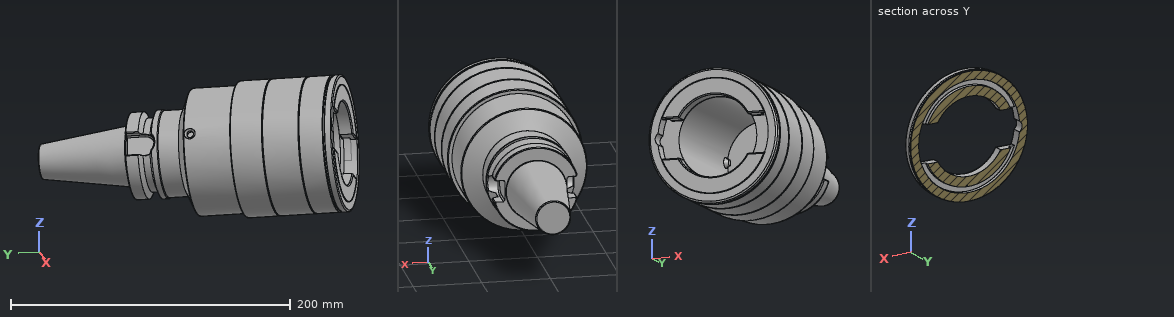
import cadquery as cq
import math

length = 222.5
edge_break = 0.7

taper_ratio = 7 / 24
gauge_y = 157.0
gauge_r = 22.2
tail_r = gauge_r - (length - gauge_y) * taper_ratio / 2
neck_r = gauge_r - 0.5

flange_back_y = 155.0
flange_front_y = 145.5
flange_d = 63.0
flange_r = flange_d / 2
groove_r = 26.7
groove_back_y = 142.8
groove_front_y = 137.7
collar_r = 32.0
collar_back_y = 135.5
collar_front_y = 131.2

waist_r = 31.4
waist_front_y = 115.6
shoulder_r = 46.0
shoulder_y = 109.2
sleeve_d = 98.5
sleeve_r = sleeve_d / 2
sleeve_back_y = 74.5
joint_positions = (50.7, 24.0)
joint_depth = 0.5
relief_y = 5.8
relief_half_bottom = 0.5
relief_half_top = 1.0
relief_depth = 1.0
nose_chamfer_r = 1.3
nose_chamfer_y = 0.7

drive_half_width = 8.0
drive_floor_x = 22.7
drive_center_y = 141.7
drive_floor_chamfer = 1.1
drive_edge_chamfer = 1.0

bore_r = 29.8
bore_depth = 108.0
insert_r = 42.3
insert_flange_depth = 4.7
insert_depth = 10.0
insert_neck_r = 38.0
insert_bore_r = bore_r + 0.2
insert_chamfer = 1.0
insert_joint_depth = 0.5

cross_half_width = 14.7
cross_chamfer = 1.0
cross_floor_chamfer = 0.5

notch_r = 5.0
notch_x = -39.4

screw_y = 104.3
countersink_r = 4.0
countersink_depth = 1.5
socket_r = 2.5
socket_depth = 4.5
point_base_r = 5.3
point_embed = 1.8
point_tip_r = 2.2
point_tip_x = -27.0


def turned(points):
    """Revolve an outline of (radius, y) points about the Y axis."""
    return cq.Workplane("XY").polyline(points).close().revolve(360, (0, 0, 0), (0, 1, 0))


def screw_cone(start_x, start_r, end_x, end_r):
    """Truncated cone along X on the axis of the radial screw."""
    return (
        cq.Workplane("YZ", origin=(start_x, screw_y, 0))
        .circle(start_r)
        .workplane(offset=end_x - start_x)
        .circle(end_r)
        .loft()
    )


def make_body():
    return turned([
        (0, 0),
        (sleeve_r - nose_chamfer_r, 0),
        (sleeve_r, nose_chamfer_y),
        (sleeve_r, sleeve_back_y - edge_break),
        (sleeve_r - edge_break, sleeve_back_y),
        (shoulder_r, sleeve_back_y),
        (shoulder_r, shoulder_y - edge_break),
        (shoulder_r - edge_break, shoulder_y),
        (waist_r, waist_front_y),
        (waist_r, collar_front_y - edge_break),
        (collar_r, collar_front_y),
        (collar_r, collar_back_y),
        (groove_r, groove_front_y),
        (groove_r, groove_back_y),
        (flange_r, flange_front_y),
        (flange_r, flange_back_y - edge_break),
        (flange_r - edge_break, flange_back_y),
        (neck_r, flange_back_y),
        (neck_r, gauge_y - edge_break),
        (gauge_r, gauge_y),
        (tail_r + edge_break * taper_ratio / 2, length - edge_break),
        (tail_r - edge_break, length),
        (0, length),
    ])


def cut_sleeve_grooves(body):
    for y in joint_positions:
        body = body.cut(turned([
            (sleeve_r - joint_depth, y),
            (sleeve_r, y - joint_depth),
            (sleeve_r, y + joint_depth),
        ]))
    return body.cut(turned([
        (sleeve_r - relief_depth, relief_y - relief_half_bottom),
        (sleeve_r, relief_y - relief_half_top),
        (sleeve_r, relief_y + relief_half_top),
        (sleeve_r - relief_depth, relief_y + relief_half_bottom),
    ]))


def drive_slot_cutter():
    """Round-ended slot on the +X side, open toward the tail."""
    slot_length = gauge_y - drive_center_y
    plane = cq.Workplane("YZ", origin=(drive_floor_x, drive_center_y, 0))
    return (
        plane.moveTo(slot_length, -drive_half_width)
        .lineTo(0, -drive_half_width)
        .threePointArc((-drive_half_width, 0), (0, drive_half_width))
        .lineTo(slot_length, drive_half_width)
        .close()
        .extrude(collar_r)
        .edges("<X")
        .chamfer(drive_floor_chamfer)
    )


def rim_edges(body, side):
    """Edges where one drive slot breaks through the round flange and collar surfaces."""
    inner_x = side * math.sqrt(flange_r**2 - drive_half_width**2) - side * edge_break
    outer_x = side * (collar_r + edge_break)
    rim_box = cq.selectors.BoxSelector(
        (inner_x, collar_front_y + edge_break, -drive_half_width - edge_break),
        (outer_x, flange_back_y, drive_half_width + edge_break),
    )
    return body.edges(rim_box)


def cut_drive_slots(body):
    slot = drive_slot_cutter()
    body = body.cut(slot).cut(slot.mirror("YZ"))
    for side in (-1, 1):
        rim = rim_edges(body, side)
        body = body.newObject(rim.vals()).chamfer(drive_edge_chamfer)
    return body


def cut_bore(body):
    body = body.cut(turned([
        (0, 0),
        (insert_bore_r + insert_chamfer, 0),
        (insert_bore_r, insert_chamfer),
        (insert_bore_r, insert_depth),
        (bore_r, insert_depth),
        (bore_r, bore_depth),
        (0, bore_depth),
    ]))
    undercut = turned([
        (insert_neck_r, insert_flange_depth),
        (insert_r, insert_flange_depth),
        (insert_r, insert_depth),
        (insert_neck_r, insert_depth),
    ])
    joint = turned([
        (insert_r - insert_joint_depth, 0),
        (insert_r, 0),
        (insert_r, insert_joint_depth),
    ])
    return body.cut(undercut).cut(joint)


def cut_cross_slots(body):
    """Flat-sided slot across the insert, kept inside the insert's outer circle."""
    mouth_half_width = cross_half_width + cross_chamfer
    slot = (
        cq.Workplane("YZ")
        .polyline([
            (0, -mouth_half_width),
            (cross_chamfer, -cross_half_width),
            (insert_depth, -cross_half_width),
            (insert_depth, cross_half_width),
            (cross_chamfer, cross_half_width),
            (0, mouth_half_width),
        ])
        .close()
        .extrude(insert_r, both=True)
        .edges("|X and >Y")
        .chamfer(cross_floor_chamfer)
    )
    insert = cq.Workplane("XZ").circle(insert_r).extrude(-insert_depth)
    notch = cq.Workplane("XZ", origin=(notch_x, 0, 0)).circle(notch_r).extrude(-insert_depth)
    return body.cut(slot.intersect(insert)).cut(notch)


def add_screw(body):
    sink_floor_x = countersink_depth - shoulder_r
    socket_floor_x = socket_depth - shoulder_r
    socket = (
        cq.Workplane("YZ", origin=(-sleeve_r, screw_y, 0))
        .circle(socket_r)
        .extrude(socket_floor_x + sleeve_r)
    )
    countersink = screw_cone(-shoulder_r, countersink_r, sink_floor_x, socket_r)
    point = screw_cone(-bore_r - point_embed, point_base_r, point_tip_x, point_tip_r)
    return body.union(point).cut(socket).cut(countersink)


body = make_body()
body = cut_sleeve_grooves(body)
body = cut_drive_slots(body)
body = cut_bore(body)
body = cut_cross_slots(body)
result = add_screw(body)